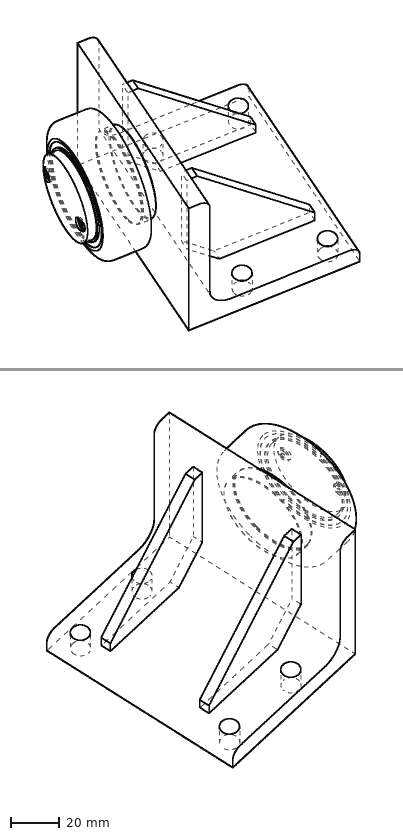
import cadquery as cq
import math

bracket_width = 100.0
leg_length = 80.0
leg_thickness = 10.0
inner_fillet = 10.0
outer_round = 5.0

mount_hole_diameter = 8.4
mount_hole_inset = 10.0
mount_hole_pitch_x = bracket_width - 2 * mount_hole_inset
mount_hole_pitch_y = 40.0

rib_thickness = 5.0
rib_spacing = 53.0
rib_inset = 10.1
rib_end_land = 5.0
rib_relief = 15.3

roller_axis_height = 50.0
roller_back_depth = 7.0
roller_front_depth = 27.0
roller_diameter = 62.5
crown_arc_radius = 339
back_edge_round = 1.5
front_edge_round = 2.9
front_cone_depth = 24.4
front_rim_diameter = 50.0
seal_outer_diameter = 47.0
seal_recess = 0.2

flange_diameter = 42.1
flange_depth = 6.5
flange_neck_diameter = 41.5

washer_diameter = 42.0
washer_depth = 27.6
hub_diameter = 40.0
hub_shoulder_depth = 31.6
hub_front_depth = 33.0
hub_face_diameter = 30.1

pin_hole_spacing = hub_face_diameter
pin_hole_diameter = 6.5
pin_hole_floor_diameter = 5.3
pin_hole_wall = 1.0
pin_hole_depth = 1.4
pilot_diameter = 2.0
pilot_depth = 0.2


def make_bracket():
    """L-shaped profile, extruded along X, with the foot drilled."""
    profile = (
        cq.Workplane("YZ")
        .polyline([
            (0, 0),
            (leg_length, 0),
            (leg_length, leg_thickness),
            (leg_thickness, leg_thickness),
            (leg_thickness, leg_length),
            (0, leg_length),
        ])
        .close()
        .extrude(bracket_width / 2, both=True)
    )
    inner_corner = cq.selectors.NearestToPointSelector((0, leg_thickness, leg_thickness))
    foot_tip = cq.selectors.NearestToPointSelector((0, leg_length, leg_thickness))
    wall_tip = cq.selectors.NearestToPointSelector((0, leg_thickness, leg_length))
    bracket = profile.edges(inner_corner).fillet(inner_fillet)
    bracket = bracket.edges(foot_tip).fillet(outer_round)
    bracket = bracket.edges(wall_tip).fillet(outer_round)

    hole_row_center = leg_length - mount_hole_inset - mount_hole_pitch_y / 2
    holes = (
        cq.Workplane("XY")
        .center(0, hole_row_center)
        .rarray(mount_hole_pitch_x, mount_hole_pitch_y, 2, 2)
        .circle(mount_hole_diameter / 2)
        .extrude(leg_thickness)
    )
    return bracket.cut(holes)


def make_rib(x_center):
    """45-degree gusset with a square-cut end on each leg and a relief at the inner corner."""
    far = leg_length - rib_inset
    land = leg_thickness + rib_end_land
    relief = leg_thickness + rib_relief
    return (
        cq.Workplane("YZ", origin=(x_center, 0, 0))
        .polyline([
            (relief, leg_thickness),
            (far, leg_thickness),
            (far, land),
            (land, far),
            (leg_thickness, far),
            (leg_thickness, relief),
        ])
        .close()
        .extrude(rib_thickness / 2, both=True)
    )


def turn(profile):
    """Revolve a (radius, -depth) profile about the local Y axis, then lift it to roller height."""
    solid = profile.close().revolve(360, (0, 0, 0), (0, 1, 0))
    return solid.translate((0, 0, roller_axis_height))


def stepped_disc(points):
    """Turned solid from (diameter, depth) corners, closed along the axis."""
    outline = [(diameter / 2, -depth) for diameter, depth in points]
    first_depth = points[0][1]
    last_depth = points[-1][1]
    return turn(cq.Workplane("XY").polyline([(0, -first_depth)] + outline + [(0, -last_depth)]))


def make_roller():
    """Crowned tyre with a conical front, rounded edges and a recessed seal ring."""
    rim_radius = front_rim_diameter / 2
    crown_radius = roller_diameter / 2
    crown_depth = (roller_back_depth + roller_front_depth) / 2

    def tyre_radius(depth):
        arc_drop = crown_arc_radius - math.sqrt(crown_arc_radius**2 - (depth - crown_depth) ** 2)
        return crown_radius - arc_drop

    seal_depth = roller_front_depth - seal_recess
    roller = turn(
        cq.Workplane("XY")
        .moveTo(0, -roller_back_depth)
        .lineTo(tyre_radius(roller_back_depth), -roller_back_depth)
        .threePointArc(
            (crown_radius, -crown_depth),
            (tyre_radius(front_cone_depth), -front_cone_depth),
        )
        .lineTo(rim_radius, -roller_front_depth)
        .lineTo(seal_outer_diameter / 2, -roller_front_depth)
        .lineTo(seal_outer_diameter / 2, -seal_depth)
        .lineTo(0, -seal_depth)
    )
    front_edge = cq.selectors.NearestToPointSelector((0, -front_cone_depth, roller_axis_height))
    roller = roller.edges("%CIRCLE").edges(front_edge).fillet(front_edge_round)
    return roller.faces(">Y").edges("%CIRCLE").fillet(back_edge_round)


def make_flange():
    """Pin flange with both rims bevelled down to the neck diameter."""
    bevel = (flange_diameter - flange_neck_diameter) / 2
    return stepped_disc([
        (flange_neck_diameter, 0),
        (flange_diameter, bevel),
        (flange_diameter, flange_depth - bevel),
        (flange_neck_diameter, flange_depth),
        (flange_neck_diameter, roller_back_depth),
    ])


def make_hub():
    """Washer and hub with a conical edge around the flat front face."""
    return stepped_disc([
        (washer_diameter, roller_back_depth),
        (washer_diameter, washer_depth),
        (hub_diameter, washer_depth),
        (hub_diameter, hub_shoulder_depth),
        (hub_face_diameter, hub_front_depth),
    ])


def make_pin_hole(x_center):
    """Blind hole with a bevelled floor edge and a small pilot in the floor."""
    floor_depth = hub_front_depth - pin_hole_depth
    hole = stepped_disc([
        (pin_hole_diameter, hub_front_depth),
        (pin_hole_diameter, hub_front_depth - pin_hole_wall),
        (pin_hole_floor_diameter, floor_depth),
        (pilot_diameter, floor_depth),
        (pilot_diameter, floor_depth - pilot_depth),
    ])
    return hole.translate((x_center, 0, 0))


result = make_bracket()
for side in (-1, 1):
    result = result.union(make_rib(side * rib_spacing / 2))
for turned_part in (make_flange(), make_roller(), make_hub()):
    result = result.union(turned_part)
for side in (-1, 1):
    result = result.cut(make_pin_hole(side * pin_hole_spacing / 2))